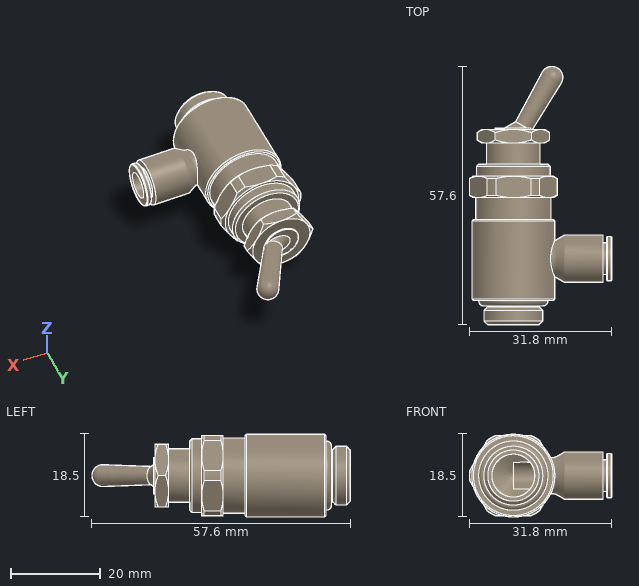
import cadquery as cq
import math


OVERALL_LENGTH = 57.6

PORT_RADIUS = 6.55
PORT_CHAMFER = 0.85
PORT_FLARE_START = 3.2
NECK_RADIUS = 5.75

SEAL_SECTION_RADIUS = 1.1
SEAL_CENTRE_Y = 5.3
SPIGOT_RADIUS = 7.7

SLEEVE_DIAMETER = 18.5
SLEEVE_BOTTOM_Y = 5.4
SLEEVE_TOP_Y = 23.5
SLEEVE_CHAMFER = 0.35

BRANCH_Y = 14.75
BRANCH_NECK_RADIUS = 4.1
BRANCH_RADIUS = 5.3
BRANCH_CONE_END_X = 11.4
BRANCH_CONE_ANGLE = 30.0
BRANCH_END_X = 20.0
BRANCH_NECK_FILLET = 1.0
BRANCH_SHOULDER_FILLET = 0.4
COLLET_STEM_RADIUS = 3.55
COLLET_RADIUS = 4.95
COLLET_START_X = 20.8
COLLET_END_X = 21.95
COLLET_CHAMFER = 0.2

BORE_RADIUS = 4.8
DRILL_POINT_ANGLE = 118.0
BORE_TIP_Y = BRANCH_Y + 2.3
CROSS_HOLE_RADIUS = 3.0

CORNERS_PER_FLATS = 1 / math.cos(math.radians(30))
COLLAR_RADIUS = 8.4
BODY_HEX_START_Y = 28.35
BODY_HEX_END_Y = 33.1
BODY_HEX_FLATS = 17.95
BODY_HEX_CORNER_RADIUS = 9.8
BODY_HEX_CHAMFER_HEIGHT = 0.5
RING_RADIUS = 8.25
RING_END_Y = 35.8
RING_CHAMFER = 0.5
STEM_RADIUS = 6.0
NUT_START_Y = 40.5
NUT_END_Y = 43.55
NUT_FLATS = 14.0
NUT_CHAMFER_HEIGHT = 0.7
CAP_RADIUS = 4.1
CAP_END_Y = 43.8

LEVER_TILT = 30.0
LEVER_PIVOT_Y = 40.25
LEVER_BASE_DISTANCE = 4.6
LEVER_BASE_RADIUS = 2.1
LEVER_TIP_RADIUS = 2.5
LEVER_FOOT_ANGLE = 30.0
LEVER_FOOT_LENGTH = 2.9


def cylinder_y(radius, start, end):
    """Cylinder on the Y axis between two Y positions."""
    return cq.Workplane("XZ", origin=(0, start, 0)).circle(radius).extrude(start - end)


def cylinder_x(radius, start, end):
    """Cylinder on the branch axis between two X positions."""
    return cq.Workplane("YZ", origin=(start, BRANCH_Y, 0)).circle(radius).extrude(end - start)


def revolve_about_y(points):
    """Solid of revolution about Y from (radius, Y) points."""
    return cq.Workplane("XY").polyline(points).close().revolve(360, (0, 0, 0), (0, 1, 0))


def hexagon(across_flats, corner_radius, start, end, chamfer_height):
    """Hexagon along Y with flats facing +Z and -Z, turned to a corner radius and chamfered."""
    prism = (
        cq.Workplane("XZ", origin=(0, start, 0))
        .polygon(6, across_flats * CORNERS_PER_FLATS)
        .extrude(start - end)
    )
    face_radius = across_flats / 2
    turned_blank = revolve_about_y([
        (0, start),
        (face_radius, start),
        (corner_radius, start + chamfer_height),
        (corner_radius, end - chamfer_height),
        (face_radius, end),
        (0, end),
    ])
    return prism.intersect(turned_blank)


def make_port():
    """Chamfered port end with its flare, relief neck and sealing ring."""
    flare_end = PORT_FLARE_START + PORT_RADIUS - NECK_RADIUS
    port = revolve_about_y([
        (0, 0),
        (PORT_RADIUS - PORT_CHAMFER, 0),
        (PORT_RADIUS, PORT_CHAMFER),
        (PORT_RADIUS, PORT_FLARE_START),
        (NECK_RADIUS, flare_end),
        (NECK_RADIUS, SEAL_CENTRE_Y),
        (0, SEAL_CENTRE_Y),
    ])
    seal_ring_radius = SPIGOT_RADIUS - SEAL_SECTION_RADIUS
    seal = (
        cq.Workplane("XY")
        .moveTo(seal_ring_radius, SEAL_CENTRE_Y)
        .circle(SEAL_SECTION_RADIUS)
        .revolve(360, (0, 0, 0), (0, 1, 0))
    )
    return port.union(seal)


def make_lever():
    """Tapered round-ended lever on a conical foot, tilted from Y towards +X."""
    tilt = math.radians(LEVER_TILT)
    dome_centre = (OVERALL_LENGTH - LEVER_TIP_RADIUS - LEVER_PIVOT_Y) / math.cos(tilt)
    foot_start = LEVER_BASE_DISTANCE - LEVER_FOOT_LENGTH
    foot_radius = LEVER_BASE_RADIUS + LEVER_FOOT_LENGTH * math.tan(math.radians(LEVER_FOOT_ANGLE))
    dome_diagonal = LEVER_TIP_RADIUS * math.sqrt(0.5)
    return (
        cq.Workplane("XY")
        .moveTo(0, foot_start)
        .lineTo(foot_radius, foot_start)
        .lineTo(LEVER_BASE_RADIUS, LEVER_BASE_DISTANCE)
        .lineTo(LEVER_TIP_RADIUS, dome_centre)
        .threePointArc((dome_diagonal, dome_centre + dome_diagonal), (0, dome_centre + LEVER_TIP_RADIUS))
        .close()
        .revolve(360, (0, 0, 0), (0, 1, 0))
        .rotate((0, 0, 0), (0, 0, 1), -LEVER_TILT)
        .translate((0, LEVER_PIVOT_Y, 0))
    )


def make_bore():
    """Blind port bore ending in a drill point."""
    point_length = BORE_RADIUS / math.tan(math.radians(DRILL_POINT_ANGLE / 2))
    return revolve_about_y([
        (0, 0),
        (BORE_RADIUS, 0),
        (BORE_RADIUS, BORE_TIP_Y - point_length),
        (0, BORE_TIP_Y),
    ])


def make_valve():
    """Valve core, hexagons, sealing ring and lever in one solid."""
    spigot = cylinder_y(SPIGOT_RADIUS, SEAL_CENTRE_Y, SLEEVE_TOP_Y)
    collar = cylinder_y(COLLAR_RADIUS, SLEEVE_TOP_Y, BODY_HEX_START_Y)
    body_hex = hexagon(
        BODY_HEX_FLATS, BODY_HEX_CORNER_RADIUS, BODY_HEX_START_Y, BODY_HEX_END_Y, BODY_HEX_CHAMFER_HEIGHT
    )
    ring = cylinder_y(RING_RADIUS, BODY_HEX_END_Y, RING_END_Y).faces(">Y").chamfer(RING_CHAMFER)
    stem = cylinder_y(STEM_RADIUS, RING_END_Y, NUT_START_Y)
    nut_corner_radius = NUT_FLATS / 2 * CORNERS_PER_FLATS
    nut = hexagon(NUT_FLATS, nut_corner_radius, NUT_START_Y, NUT_END_Y, NUT_CHAMFER_HEIGHT)
    cap = cylinder_y(CAP_RADIUS, NUT_END_Y, CAP_END_Y)

    valve = make_port()
    for section in (spigot, collar, body_hex, ring, stem, nut, cap, make_lever()):
        valve = valve.union(section)
    return valve.cut(make_bore()).cut(cylinder_x(CROSS_HOLE_RADIUS, 0, SPIGOT_RADIUS))


def centre_x(edge):
    """X position of an edge's centre."""
    return edge.Center().x


def make_branch():
    """Branch barrel with its filleted cone, and the collet at its end."""
    cone_length = (BRANCH_RADIUS - BRANCH_NECK_RADIUS) / math.tan(math.radians(BRANCH_CONE_ANGLE))
    barrel = (
        cq.Workplane("XY", origin=(0, BRANCH_Y, 0))
        .polyline([
            (0, 0),
            (0, BRANCH_NECK_RADIUS),
            (BRANCH_CONE_END_X - cone_length, BRANCH_NECK_RADIUS),
            (BRANCH_CONE_END_X, BRANCH_RADIUS),
            (BRANCH_END_X, BRANCH_RADIUS),
            (BRANCH_END_X, 0),
        ])
        .close()
        .revolve(360, (0, 0, 0), (1, 0, 0))
    )
    barrel = barrel.edges("%CIRCLE").sort(centre_x)[-2].fillet(BRANCH_SHOULDER_FILLET)
    barrel = barrel.edges("%CIRCLE").sort(centre_x)[1].fillet(BRANCH_NECK_FILLET)
    collet_stem = cylinder_x(COLLET_STEM_RADIUS, BRANCH_END_X, COLLET_START_X)
    collet = cylinder_x(COLLET_RADIUS, COLLET_START_X, COLLET_END_X).edges("%CIRCLE").chamfer(COLLET_CHAMFER)
    return barrel.union(collet_stem).union(collet)


def make_swivel():
    """Sleeve around the valve spigot, with the branch and its through hole."""
    sleeve = cylinder_y(SLEEVE_DIAMETER / 2, SLEEVE_BOTTOM_Y, SLEEVE_TOP_Y)
    sleeve = sleeve.edges("%CIRCLE").chamfer(SLEEVE_CHAMFER)
    spigot_hole = cylinder_y(SPIGOT_RADIUS, SLEEVE_BOTTOM_Y, SLEEVE_TOP_Y)
    cross_hole = cylinder_x(CROSS_HOLE_RADIUS, 0, COLLET_END_X)
    return sleeve.union(make_branch()).cut(spigot_hole).cut(cross_hole)


valve = make_valve()
swivel = make_swivel()

result = cq.Compound.makeCompound([valve.val(), swivel.val()])